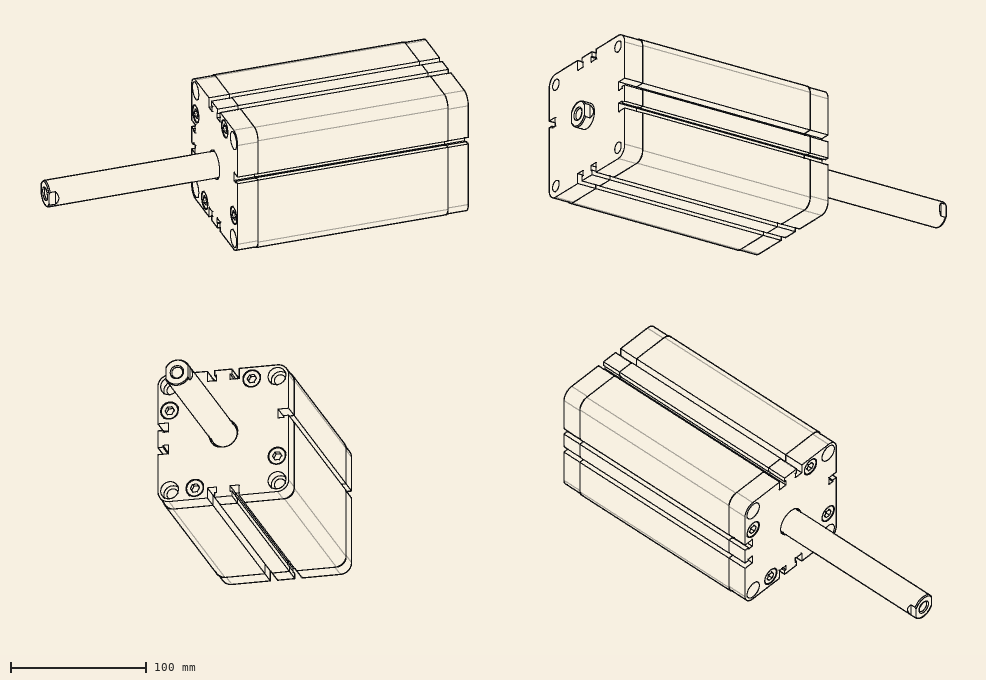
import cadquery as cq
import math


body_width = 100.0
half_width = body_width / 2
body_length = 181.0
cap_length = 16.0
cap_corner_radius = 8.5
cap_recess = 0.1
profile_corner_radius = 7.5

slot_depth = 8.0
lip_thickness = 4.0
slot_mouth = 5.3
slot_undercut = 1.4
pair_slot_wall = 12.0
single_slot_wall = 14.8

mount_pitch = 82.0
mount_hole_diameter = 8.57
mount_counterbore_diameter = 13.5
mount_counterbore_depth = 9.0

screw_offset = 21.7
screw_seat_diameter = 13.5
screw_seat_depth = 9.0
screw_head_diameter = 12.5
screw_head_recess = 0.3
hex_across_flats = 6.0
hex_depth = 4.0

rod_diameter = 20.0
rod_front_length = 133.0
rod_rear_length = 8.0
rod_bore_diameter = 22.0
rod_bore_depth = 2.0
rod_chamfer_length = 1.0
rod_chamfer_height = 0.6
flats_width = 17.0
flats_length = 5.0
flats_runout = 2.2
thread_diameter = 8.38
thread_depth = 20.0
countersink_diameter = 10.25
drill_point_angle = 120.0


def cylinder(diameter, start_y, end_y, x=0.0, z=0.0):
    """Cylinder parallel to Y between two Y positions."""
    base = cq.Vector(x, start_y, z)
    solid = cq.Solid.makeCylinder(diameter / 2, end_y - start_y, base, cq.Vector(0, 1, 0))
    return cq.Workplane(obj=solid)


def revolve_about_y(half_section):
    """Round body from (radius, Y) points that start and end on the Y axis."""
    return cq.Workplane("XY").polyline(half_section).close().revolve(360, (0, 0, 0), (0, 1, 0))


def block(start_y, length, width, corner_radius):
    """Square section of the body with rounded long edges."""
    return (
        cq.Workplane("XY")
        .box(width, length, width)
        .edges("|Y")
        .fillet(corner_radius)
        .translate((0, start_y + length / 2, 0))
    )


def make_slot(wall, side, length, recess):
    """Slot in the +Z face: plain outer wall at side * wall, lip over the inner side.

    The recess moves every slot face into the material by that amount.
    """
    lip_edge = wall - slot_mouth
    undercut_edge = lip_edge - slot_undercut
    lip_z = half_width - lip_thickness
    floor_z = half_width - slot_depth
    outline = [
        (wall + recess, half_width),
        (lip_edge - recess, half_width),
        (lip_edge - recess, lip_z + recess),
        (undercut_edge - recess, lip_z + recess),
        (undercut_edge - recess, floor_z - recess),
        (wall + recess, floor_z - recess),
    ]
    points = [(side * x, z) for x, z in outline]
    return cq.Workplane("XZ").polyline(points).close().extrude(-length)


def make_section(start_y, length, corner_radius, recess):
    """Slotted stretch of the body whose whole outline is set in by the recess.

    Slot pairs lie in the +Z, -X and -Z faces and one slot in the +X face.
    """
    section = block(start_y, length, body_width - 2 * recess, corner_radius)
    slots = [(turn, pair_slot_wall, side) for turn in (0, -90, 180) for side in (-1, 1)]
    slots.append((90, single_slot_wall, -1))
    for turn, wall, side in slots:
        slot = make_slot(wall, side, length, recess)
        section = section.cut(slot.rotate((0, 0, 0), (0, 1, 0), turn).translate((0, start_y, 0)))
    return section


def make_body():
    """Profile between two end caps that are set in very slightly from it."""
    profile_length = body_length - 2 * cap_length
    rear_cap_start = body_length - cap_length
    front_cap = make_section(0, cap_length, cap_corner_radius, cap_recess)
    profile = make_section(cap_length, profile_length, profile_corner_radius, 0)
    rear_cap = make_section(rear_cap_start, cap_length, cap_corner_radius, cap_recess)
    return front_cap.union(profile).union(rear_cap)


def cut_mounting_holes(body):
    """Through holes near the four corners, counterbored from the front."""
    offset = mount_pitch / 2
    for x in (-offset, offset):
        for z in (-offset, offset):
            body = body.cut(cylinder(mount_hole_diameter, 0, body_length, x, z))
            body = body.cut(cylinder(mount_counterbore_diameter, 0, mount_counterbore_depth, x, z))
    return body


def make_screw_cutter(x, z):
    """Clearance around one recessed screw head together with its hexagon socket."""
    seat = cylinder(screw_seat_diameter, 0, screw_seat_depth, x, z)
    head = cylinder(screw_head_diameter, screw_head_recess, screw_seat_depth, x, z)
    hex_diameter = hex_across_flats / math.cos(math.pi / 6)
    socket = (
        cq.Workplane("XZ", origin=(x, screw_head_recess, z))
        .polygon(6, hex_diameter)
        .extrude(-hex_depth)
    )
    return seat.cut(head).union(socket)


def cut_screws(body):
    """Four screws, each a quarter turn from the next around the rod."""
    near = screw_offset
    far = mount_pitch / 2
    for x, z in ((near, far), (-far, near), (-near, -far), (far, -near)):
        body = body.cut(make_screw_cutter(x, z))
    return body


def make_flat_cutter(side):
    """Material removed from one side of the front rod end: a wrench flat with a sloped runout."""
    tip = -rod_front_length
    flat_x = side * flats_width / 2
    rod_x = side * rod_diameter / 2
    flat_end = tip + flats_length
    points = [
        (flat_x, tip),
        (flat_x, flat_end),
        (rod_x, flat_end + flats_runout),
        (rod_x, tip),
    ]
    return cq.Workplane("XY").polyline(points).close().extrude(rod_diameter / 2, both=True)


def make_thread_hole():
    """Countersunk blind hole in the front rod end with a conical drill point."""
    tip = -rod_front_length
    radius = thread_diameter / 2
    countersink_radius = countersink_diameter / 2
    countersink_depth = countersink_radius - radius
    point_depth = radius / math.tan(math.radians(drill_point_angle / 2))
    half_section = [
        (0, tip),
        (countersink_radius, tip),
        (radius, tip + countersink_depth),
        (radius, tip + thread_depth),
        (0, tip + thread_depth + point_depth),
    ]
    return revolve_about_y(half_section)


def make_rod():
    """Through rod whose two ends carry the same chamfer, wrench flats and threaded hole."""
    front_end = -rod_front_length
    rear_end = body_length + rod_rear_length
    middle = (front_end + rear_end) / 2
    radius = rod_diameter / 2
    end_radius = radius - rod_chamfer_height
    half_section = [
        (0, front_end),
        (end_radius, front_end),
        (radius, front_end + rod_chamfer_length),
        (radius, rear_end - rod_chamfer_length),
        (end_radius, rear_end),
        (0, rear_end),
    ]
    rod = revolve_about_y(half_section)
    for cutter in (make_flat_cutter(-1), make_flat_cutter(1), make_thread_hole()):
        rod = rod.cut(cutter)
        rod = rod.cut(cutter.mirror("XZ", (0, middle, 0)))
    return rod


result = make_body()
result = cut_mounting_holes(result)
result = cut_screws(result)
result = result.cut(cylinder(rod_bore_diameter, 0, rod_bore_depth))
result = result.union(make_rod())